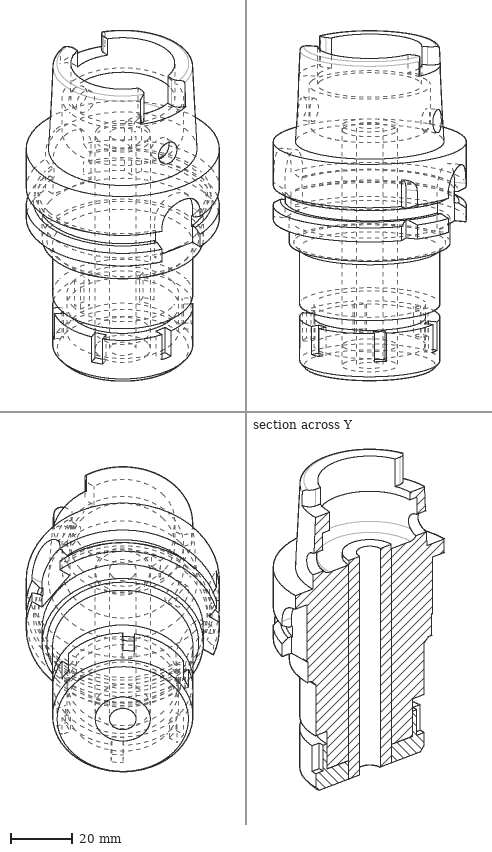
import cadquery as cq
import math

TOTAL_HEIGHT = 107.0
FLANGE_DIAMETER = 63.0

NUT_HEIGHT = 16.2
NUT_DIAMETER = 45.8
NUT_CHAMFER_HEIGHT = 1.7
NUT_CHAMFER_WIDTH = 1.5
NUT_SLOT_COUNT = 6
NUT_SLOT_WIDTH = 3.9
NUT_SLOT_DEPTH = 3.1
NUT_SLOT_FLOOR_Z = 6.7

COLLET_DIAMETER = 18.0
COLLET_BORE_DIAMETER = 8.7
COLLET_TOP_Z = 80.5

NECK_DIAMETER = 36.5
NECK_BOTTOM_Z = NUT_SLOT_FLOOR_Z
SHANK_DIAMETER = NUT_DIAMETER
SHANK_BOTTOM_Z = 20.5
SHANK_CONE_BOTTOM_Z = 39.3
SHANK_CONE_TOP_DIAMETER = 49.5
COLLAR_DIAMETER = 52.5
COLLAR_BOTTOM_Z = 41.2

FLANGE_BOTTOM_Z = 49.0
FLANGE_TOP_Z = 75.0
GROOVE_DIAMETER = 55.1
GROOVE_BOTTOM_Z = 55.1
GROOVE_TOP_Z = 58.8
LOWER_FLANK_HEIGHT = 1.4
UPPER_FLANK_HEIGHT = 1.6
FLANK_ANGLE = 30.0

KEYWAY_WIDTH = 15.8
KEYWAY_TOP_Z = 69.9
KEYWAY_FLOOR_X = 26.5
NOTCH_RADIUS = 4.2
NOTCH_CENTER_Y = 24.2
NOTCH_CENTER_Z = 65.2
NOTCH_FLOOR_X = 20.4

TAPER_BOTTOM_DIAMETER = 48.5
TAPER_TOP_DIAMETER = 45.5
RIM_ROUNDING = 1.3
MOUTH_DIAMETER = 33.9
MOUTH_DEPTH = 13.0
CAVITY_DIAMETER = 39.6
CAVITY_FLOOR_Z = 78.9
CAVITY_FLOOR_ROUNDING = 2.7
CROSS_HOLE_DIAMETER = 7.6
CROSS_HOLE_Z = 84.0

DRIVE_SLOT_WIDTH = 12.4
DRIVE_SLOT_ROUNDING = 3.1
DRIVE_SLOT_LAND_X = 20.9
DRIVE_SLOT_DEPTH_MINUS_X = 6.1
DRIVE_SLOT_DEPTH_PLUS_X = 10.1


def cylinder(diameter, bottom_z, top_z):
    """Cylinder on the Z axis between two heights."""
    return cq.Workplane("XY").workplane(offset=bottom_z).circle(diameter / 2).extrude(top_z - bottom_z)


def holder_blank():
    """Solid of revolution for the outside of the holder, with its top rim rounded."""
    flank_slope = math.tan(math.radians(FLANK_ANGLE))
    flange_radius = FLANGE_DIAMETER / 2
    groove_radius = GROOVE_DIAMETER / 2
    lower_flank_radius = flange_radius - LOWER_FLANK_HEIGHT / flank_slope
    upper_flank_radius = flange_radius - UPPER_FLANK_HEIGHT / flank_slope
    outline = [
        (0, NECK_BOTTOM_Z),
        (NECK_DIAMETER / 2, NECK_BOTTOM_Z),
        (NECK_DIAMETER / 2, SHANK_BOTTOM_Z),
        (SHANK_DIAMETER / 2, SHANK_BOTTOM_Z),
        (SHANK_DIAMETER / 2, SHANK_CONE_BOTTOM_Z),
        (SHANK_CONE_TOP_DIAMETER / 2, COLLAR_BOTTOM_Z),
        (COLLAR_DIAMETER / 2, COLLAR_BOTTOM_Z),
        (COLLAR_DIAMETER / 2, FLANGE_BOTTOM_Z),
        (flange_radius, FLANGE_BOTTOM_Z),
        (flange_radius, GROOVE_BOTTOM_Z - LOWER_FLANK_HEIGHT),
        (lower_flank_radius, GROOVE_BOTTOM_Z),
        (groove_radius, GROOVE_BOTTOM_Z),
        (groove_radius, GROOVE_TOP_Z),
        (upper_flank_radius, GROOVE_TOP_Z),
        (flange_radius, GROOVE_TOP_Z + UPPER_FLANK_HEIGHT),
        (flange_radius, FLANGE_TOP_Z),
        (TAPER_BOTTOM_DIAMETER / 2, FLANGE_TOP_Z),
        (TAPER_TOP_DIAMETER / 2, TOTAL_HEIGHT),
        (0, TOTAL_HEIGHT),
    ]
    blank = cq.Workplane("XZ").polyline(outline).close().revolve(360, (0, 0), (0, 1))
    return blank.faces(">Z").edges().fillet(RIM_ROUNDING)


def holder_bores():
    """Mouth, clamping cavity with a rounded floor edge, collet bore and cross hole."""
    mouth = cylinder(MOUTH_DIAMETER, TOTAL_HEIGHT - MOUTH_DEPTH, TOTAL_HEIGHT)
    cavity = cylinder(CAVITY_DIAMETER, CAVITY_FLOOR_Z, TOTAL_HEIGHT - MOUTH_DEPTH)
    cavity = cavity.faces("<Z").edges().fillet(CAVITY_FLOOR_ROUNDING)
    collet_bore = cylinder(COLLET_DIAMETER, NECK_BOTTOM_Z, CAVITY_FLOOR_Z)
    cross_hole = (
        cq.Workplane("YZ")
        .center(0, CROSS_HOLE_Z)
        .circle(CROSS_HOLE_DIAMETER / 2)
        .extrude(FLANGE_DIAMETER / 2, both=True)
    )
    return mouth.union(cavity).union(collet_bore).union(cross_hole)


def drive_slot(depth):
    """Slot through the +X side of the taper rim, its mouth flared by a quarter round on each side."""
    half_width = DRIVE_SLOT_WIDTH / 2
    flared_half_width = half_width + DRIVE_SLOT_ROUNDING
    arc_start_x = DRIVE_SLOT_LAND_X - DRIVE_SLOT_ROUNDING
    arc_middle = DRIVE_SLOT_ROUNDING * math.sqrt(0.5)
    middle_x = arc_start_x + arc_middle
    middle_y = flared_half_width - arc_middle
    outer_x = FLANGE_DIAMETER / 2
    return (
        cq.Workplane("XY")
        .workplane(offset=TOTAL_HEIGHT - depth)
        .moveTo(0, -half_width)
        .lineTo(arc_start_x, -half_width)
        .threePointArc((middle_x, -middle_y), (DRIVE_SLOT_LAND_X, -flared_half_width))
        .lineTo(outer_x, -flared_half_width)
        .lineTo(outer_x, flared_half_width)
        .lineTo(DRIVE_SLOT_LAND_X, flared_half_width)
        .threePointArc((middle_x, middle_y), (arc_start_x, half_width))
        .lineTo(0, half_width)
        .close()
        .extrude(depth)
    )


def round_top_slot(radius, center_y, center_z, floor_x):
    """Slot open to +X and downwards to the flange underside, with a half-round upper end."""
    return (
        cq.Workplane("YZ")
        .workplane(offset=floor_x)
        .moveTo(center_y - radius, FLANGE_BOTTOM_Z)
        .lineTo(center_y - radius, center_z)
        .threePointArc((center_y, center_z + radius), (center_y + radius, center_z))
        .lineTo(center_y + radius, FLANGE_BOTTOM_Z)
        .close()
        .extrude(FLANGE_DIAMETER / 2)
    )


def turned_to_minus_x(shape):
    """Half turn about the Z axis, from the +X side to the -X side."""
    return shape.rotate((0, 0, 0), (0, 0, 1), 180)


def make_holder():
    """Holder with its bores, drive slots, keyways and orientation notch."""
    keyway_radius = KEYWAY_WIDTH / 2
    keyway = round_top_slot(keyway_radius, 0, KEYWAY_TOP_Z - keyway_radius, KEYWAY_FLOOR_X)
    notch = round_top_slot(NOTCH_RADIUS, -NOTCH_CENTER_Y, NOTCH_CENTER_Z, NOTCH_FLOOR_X)
    return (
        holder_blank()
        .cut(holder_bores())
        .cut(drive_slot(DRIVE_SLOT_DEPTH_PLUS_X))
        .cut(turned_to_minus_x(drive_slot(DRIVE_SLOT_DEPTH_MINUS_X)))
        .cut(keyway)
        .cut(turned_to_minus_x(keyway))
        .cut(turned_to_minus_x(notch))
    )


def make_nut():
    """Cup-shaped nut around the holder neck, with spanner slots open at its upper face."""
    radius = NUT_DIAMETER / 2
    outline = [
        (0, 0),
        (radius - NUT_CHAMFER_WIDTH, 0),
        (radius, NUT_CHAMFER_HEIGHT),
        (radius, NUT_HEIGHT),
        (0, NUT_HEIGHT),
    ]
    nut = cq.Workplane("XZ").polyline(outline).close().revolve(360, (0, 0), (0, 1))
    nut = nut.cut(cylinder(NECK_DIAMETER, NECK_BOTTOM_Z, NUT_HEIGHT))
    nut = nut.cut(cylinder(COLLET_DIAMETER, 0, NECK_BOTTOM_Z))
    slot = (
        cq.Workplane("XY")
        .box(radius, NUT_SLOT_WIDTH, NUT_HEIGHT - NUT_SLOT_FLOOR_Z, centered=(False, True, False))
        .translate((radius - NUT_SLOT_DEPTH, 0, NUT_SLOT_FLOOR_Z))
    )
    for index in range(NUT_SLOT_COUNT):
        angle = index * 360 / NUT_SLOT_COUNT
        nut = nut.cut(slot.rotate((0, 0, 0), (0, 0, 1), angle))
    return nut


def make_collet():
    """Straight sleeve with a through bore."""
    sleeve = cylinder(COLLET_DIAMETER, 0, COLLET_TOP_Z)
    return sleeve.cut(cylinder(COLLET_BORE_DIAMETER, 0, COLLET_TOP_Z))


holder = make_holder()
nut = make_nut()
collet = make_collet()

bodies = [body.solids().val() for body in (holder, nut, collet)]
result = cq.Compound.makeCompound(bodies)